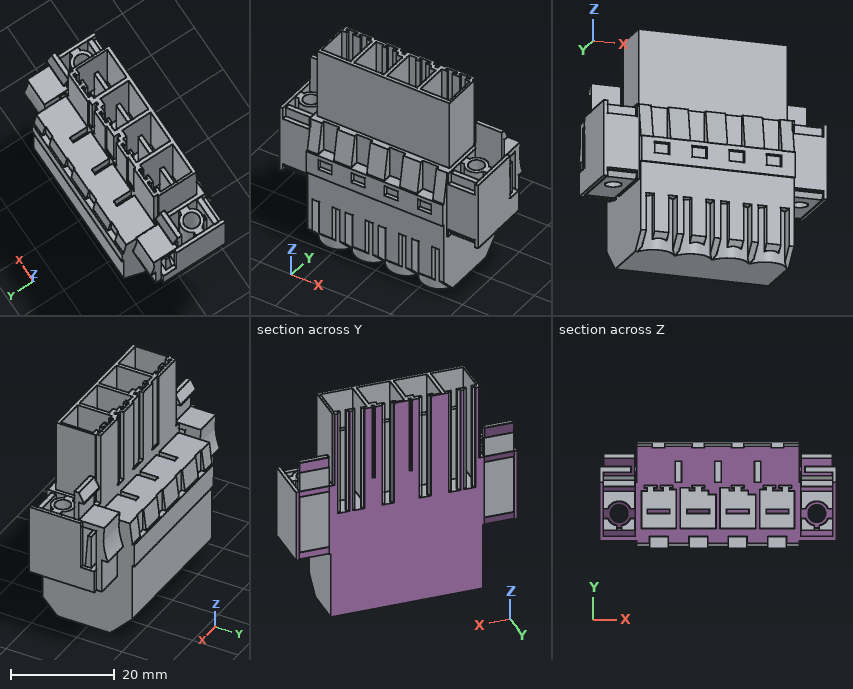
import cadquery as cq


PITCH = 7.65
POLES = 4
MIDDLE = (POLES - 1) / 2
POLE_XS = [PITCH * (i - MIDDLE) for i in range(POLES)]
MID_POLE_XS = POLE_XS[1:-1]

BODY_HALF_X = 15.7
FRONT_Y = -9.95
BACK_Y = 9.9
BAND_OUT = 0.35
BAND_BOTTOM_Z = 17.35
BAND_TOP_Z = 22.45
SHELF_Z = 27.2
TOP_Z = 29.25
TOP_FRONT_Y = -8.75
TOP_BACK_Y = 2.45
SHELF_BACK_Y = 9.33
FRONT_CHAMFER_Y = 3.25
FRONT_CHAMFER_Z = 3.45
BACK_CHAMFER = 4.9

FRONT_GAP_WIDTH = 3.55
FRONT_GAP_PITCH = 7.6
FRONT_GAP_FLOOR_Y = -8.0
BACK_GAP_WIDTH = 2.4
BACK_GAP_FLOOR_Y = 9.15
WINDOW_WIDTH = 3.1
WINDOW_BOTTOM_Z = 19.2
WINDOW_TOP_Z = 21.5
WINDOW_DEPTH = 0.85
SHELF_SLOT_WIDTH = 1.2
SHELF_SLOT_BACK_Y = 6.5
SHELF_SLOT_DEPTH = 3.65
BARREL_RADIUS = 4.15
BARREL_Y = -4.85
BARREL_TOP_Z = 11.0
BARREL_SLOT_INNER = 1.45
BARREL_SLOT_OUTER = 3.15

TOWER_HALF_X = 15.22
TOWER_FRONT_Y = -7.25
TOWER_TOP_Z = 45.0
TOWER_CORNER_STEP_X = 0.3
TOWER_CORNER_STEP_Y = 1.45
CELL_FLOOR_Z = 22.85
CELL_FRONT_Y = -6.45
END_CELL_OUTER_X = 14.7
END_CELL_INNER_X = 8.05
END_CELL_KEY_XS = (13.0, 9.9)
END_CELL_CORNER_Y = 0.75
END_CELL_INNER_Y = 1.05
MID_CELL_HALF_X = 3.45
MID_CELL_KEYWAY_X = 1.95
MID_CELL_KEYWAY_Y = 0.1
MID_CELL_CORNER_X = -1.7
KEY_LAND_Y = 0.85
KEY_HEAD_FRONT_Y = 1.35
KEY_HEAD_BACK_Y = 1.85
KEY_NECK_WIDTH = 1.3
KEY_HEAD_WIDTH = 2.4
KEYWAY_LEFT = 1.95
KEYWAY_MIDDLE = 2.75
KEYWAY_RIGHT = 3.25
KEYWAY_SHALLOW_Y = 1.7
KEYWAY_DEEP_Y = 1.05
RECESS_Y = 2.15
RECESS_WIDTH = 2.5

BLADE_WIDTH = 4.4
BLADE_THICKNESS = 0.85
BLADE_Y = -3.15
BLADE_BOTTOM_Z = 18.3
BLADE_TOP_Z = 38.4

FRAME_OUTER_X = -22.85
FRAME_INNER_X = -BODY_HALF_X
FRAME_FRONT_Y = -8.85
FRAME_BACK_Y = 5.5
FRAME_BOTTOM_Z = 14.05
FRONT_WALL_BOTTOM_Z = 15.75
FRONT_WALL_TOP_Z = 26.7
FRAME_BACK_WALL_TOP_Z = 18.95

INSERT_OUTER_X = -22.1
INSERT_INNER_X = -16.0
INSERT_MID_X = (INSERT_OUTER_X + INSERT_INNER_X) / 2
INSERT_FRONT_Y = -7.85
INSERT_BOTTOM_Z = 14.17
INSERT_FLOOR_Z = FRONT_WALL_BOTTOM_Z
LEAF_THICKNESS = 1.1
LEAF_TOP_Z = 28.8
SNAP_PEAK_Z = 15.25
SNAP_OUT = 0.7
TUBE_Y = -3.55
TUBE_RADIUS = 2.4
TUBE_HOLE_RADIUS = 1.65
TUBE_WEB_WIDTH = 1.9
TUBE_RIB_WIDTH = 1.0
TUBE_RIB_LENGTH = 0.4
TUBE_RIB_TOP_Z = 25.6
TUBE_RIB_STEP_Z = 26.5
LATCH_FRONT_Y = 0.7
LATCH_BACK_Y = 1.65
LATCH_TIP_Y = 2.8
LATCH_HOOK_Z = 33.38
LATCH_TIP_Z = 33.6
LATCH_TOP_Z = 35.65
BRIDGE_BOTTOM_Z = 28.0
LEVER_BACK_Y = 6.75
LEVER_TOP_Y = 7.25
LEVER_NECK_Y = 7.1
LEVER_NECK_Z = 26.05
LEVER_CURVE_Y = 7.35
LEVER_CURVE_Z = 23.85
LEVER_TIP_Y = 8.05
LEVER_TIP_Z = 21.55
POST_BACK_Y = 4.4
POST_TOP_Z = 26.25
LEAN_BOTTOM_Y = 2.7
LEAN_TOP_Y = 3.8
WEB_THICKNESS = 0.8


def box(x0, x1, y0, y1, z0, z1):
    """Box between two corners."""
    return cq.Workplane("XY").box(x1 - x0, y1 - y0, z1 - z0, centered=False).translate((x0, y0, z0))


def centred_box(x, width, y0, y1, z0, z1):
    """Box centred on x."""
    return box(x - width / 2, x + width / 2, y0, y1, z0, z1)


def along_x(profile, x0, x1):
    """Extrude a closed YZ profile from x0 to x1."""
    return profile.extrude(x1 - x0).translate((x0, 0, 0))


def mirrored(body):
    return body.mirror("YZ")



def body_block():
    profile = (
        cq.Workplane("YZ")
        .moveTo(FRONT_Y + FRONT_CHAMFER_Y, 0)
        .lineTo(FRONT_Y, FRONT_CHAMFER_Z)
        .lineTo(FRONT_Y, BAND_BOTTOM_Z)
        .lineTo(FRONT_Y - BAND_OUT, BAND_BOTTOM_Z)
        .lineTo(FRONT_Y - BAND_OUT, BAND_TOP_Z)
        .lineTo(FRONT_Y, BAND_TOP_Z)
        .lineTo(TOP_FRONT_Y, TOP_Z)
        .lineTo(TOP_BACK_Y, TOP_Z)
        .lineTo(TOP_BACK_Y, SHELF_Z)
        .lineTo(SHELF_BACK_Y, SHELF_Z)
        .lineTo(BACK_Y, BAND_TOP_Z)
        .lineTo(BACK_Y + BAND_OUT, BAND_TOP_Z)
        .lineTo(BACK_Y + BAND_OUT, BAND_BOTTOM_Z)
        .lineTo(BACK_Y, BAND_BOTTOM_Z)
        .lineTo(BACK_Y, BACK_CHAMFER)
        .lineTo(BACK_Y - BACK_CHAMFER, 0)
        .close()
    )
    return along_x(profile, -BODY_HALF_X, BODY_HALF_X)


def add_barrels(body):
    """Round wire barrels at the bottom, each showing through two front slots."""
    for x in POLE_XS:
        for side in (-1, 1):
            edges = sorted((x + side * BARREL_SLOT_INNER, x + side * BARREL_SLOT_OUTER))
            body = body.cut(box(*edges, FRONT_Y, BARREL_Y, 0, BARREL_TOP_Z))
    for x in POLE_XS:
        body = body.union(cq.Workplane("XY").center(x, BARREL_Y).circle(BARREL_RADIUS).extrude(BARREL_TOP_Z))
    return body


def cut_body_recesses(body):
    band_front = FRONT_Y - BAND_OUT
    band_back = BACK_Y + BAND_OUT
    for i, x in enumerate(POLE_XS):
        gap_x = FRONT_GAP_PITCH * (i - MIDDLE)
        body = body.cut(centred_box(gap_x, FRONT_GAP_WIDTH, band_front, FRONT_GAP_FLOOR_Y, BAND_TOP_Z, TOP_Z))
        body = body.cut(centred_box(x, BACK_GAP_WIDTH, BACK_GAP_FLOOR_Y, band_back, BAND_TOP_Z, SHELF_Z))
        body = body.cut(
            centred_box(x, WINDOW_WIDTH, band_front, band_front + WINDOW_DEPTH, WINDOW_BOTTOM_Z, WINDOW_TOP_Z)
        )
    for x in (-PITCH, 0, PITCH):
        body = body.cut(
            centred_box(x, SHELF_SLOT_WIDTH, TOP_BACK_Y, SHELF_SLOT_BACK_Y, SHELF_Z - SHELF_SLOT_DEPTH, SHELF_Z)
        )
    return body


def cell_box(x0, x1, back_y):
    """Part of a cell, from its front wall to back_y."""
    return box(x0, x1, CELL_FRONT_Y, back_y, CELL_FLOOR_Z, TOWER_TOP_Z)


def key_slot(x):
    """T-shaped slot in the back wall of a cell."""
    neck = cell_box(x - KEY_NECK_WIDTH / 2, x + KEY_NECK_WIDTH / 2, KEY_HEAD_FRONT_Y)
    head = centred_box(x, KEY_HEAD_WIDTH, KEY_HEAD_FRONT_Y, KEY_HEAD_BACK_Y, CELL_FLOOR_Z, TOWER_TOP_Z)
    return neck.union(head)


def end_cell():
    """Cell at the -X end, with two key slots."""
    outer_key, inner_key = (-x for x in END_CELL_KEY_XS)
    cell = cell_box(-END_CELL_OUTER_X, -END_CELL_INNER_X, END_CELL_CORNER_Y)
    cell = cell.union(cell_box(outer_key, inner_key, KEY_LAND_Y))
    cell = cell.union(cell_box(inner_key, -END_CELL_INNER_X, END_CELL_INNER_Y))
    for key_x in (outer_key, inner_key):
        cell = cell.union(key_slot(key_x))
    return cell


def middle_cell(x):
    """Cell with one key slot, stepped in beside the outside keyway."""
    left = x - MID_CELL_HALF_X
    cell = cell_box(left, x + MID_CELL_HALF_X, MID_CELL_KEYWAY_Y)
    cell = cell.union(cell_box(left, x + MID_CELL_KEYWAY_X, KEY_LAND_Y))
    cell = cell.union(cell_box(left, x + MID_CELL_CORNER_X, KEY_HEAD_FRONT_Y))
    return cell.union(key_slot(x))


def tower_notch(x0, x1, front_y):
    """Notch over the full tower height, open to the back."""
    return box(x0, x1, front_y, TOP_BACK_Y, TOP_Z, TOWER_TOP_Z)


def cut_tower_back(body):
    """Keyways, shallow recesses and corner steps on the back of the tower."""
    for x in MID_POLE_XS:
        body = body.cut(tower_notch(x + KEYWAY_LEFT, x + KEYWAY_MIDDLE, KEYWAY_SHALLOW_Y))
        body = body.cut(tower_notch(x + KEYWAY_MIDDLE, x + KEYWAY_RIGHT, KEYWAY_DEEP_Y))
    recess_starts = [-END_CELL_INNER_X] + [x + KEYWAY_RIGHT for x in MID_POLE_XS]
    for start in recess_starts:
        end = min(start + RECESS_WIDTH, END_CELL_INNER_X)
        body = body.cut(tower_notch(start, end, RECESS_Y))
    step = tower_notch(-TOWER_HALF_X, -TOWER_HALF_X + TOWER_CORNER_STEP_X, TOWER_CORNER_STEP_Y)
    return body.cut(step).cut(mirrored(step))


def add_tower(body):
    body = body.union(box(-TOWER_HALF_X, TOWER_HALF_X, TOWER_FRONT_Y, TOP_BACK_Y, TOP_Z, TOWER_TOP_Z))
    body = cut_tower_back(body)
    body = body.cut(end_cell()).cut(mirrored(end_cell()))
    for x in MID_POLE_XS:
        body = body.cut(middle_cell(x))
    return body


def side_frame():
    """Open frame on the -X side that holds a latch insert."""
    side_wall = box(FRAME_OUTER_X, INSERT_OUTER_X, FRAME_FRONT_Y, TOP_BACK_Y, FRAME_BOTTOM_Z, TOP_Z)
    low_side_wall = box(
        FRAME_OUTER_X, INSERT_OUTER_X, TOP_BACK_Y, FRAME_BACK_Y, FRAME_BOTTOM_Z, FRAME_BACK_WALL_TOP_Z
    )
    front_wall = box(
        FRAME_OUTER_X, FRAME_INNER_X, FRAME_FRONT_Y, INSERT_FRONT_Y, FRONT_WALL_BOTTOM_Z, FRONT_WALL_TOP_Z
    )
    back_wall = box(
        FRAME_OUTER_X, FRAME_INNER_X, POST_BACK_Y, FRAME_BACK_Y, FRAME_BOTTOM_Z, FRAME_BACK_WALL_TOP_Z
    )
    inner_wall = box(INSERT_INNER_X, FRAME_INNER_X, FRAME_FRONT_Y, TOP_BACK_Y, FRAME_BOTTOM_Z, TOP_Z)
    return side_wall.union(low_side_wall).union(front_wall).union(back_wall).union(inner_wall)


def make_housing():
    body = add_barrels(body_block())
    body = cut_body_recesses(body)
    body = add_tower(body)
    body = body.union(side_frame()).union(mirrored(side_frame()))
    for x in POLE_XS:
        body = body.cut(make_contact(x))
    return body



def make_contact(x):
    """Flat blade set into the floor of a cell."""
    y0 = BLADE_Y - BLADE_THICKNESS / 2
    return centred_box(x, BLADE_WIDTH, y0, y0 + BLADE_THICKNESS, BLADE_BOTTOM_Z, BLADE_TOP_Z)



def insert_slab(y0, y1, z0, z1):
    """Box over the full width of the insert."""
    return box(INSERT_OUTER_X, INSERT_INNER_X, y0, y1, z0, z1)


def front_leaf():
    """Front wall of the insert, with a snap ridge under the frame's front wall."""
    leaf = insert_slab(INSERT_FRONT_Y, INSERT_FRONT_Y + LEAF_THICKNESS, INSERT_BOTTOM_Z, LEAF_TOP_Z)
    ridge = cq.Workplane("YZ").polyline([
        (INSERT_FRONT_Y, INSERT_BOTTOM_Z),
        (INSERT_FRONT_Y - SNAP_OUT, SNAP_PEAK_Z),
        (INSERT_FRONT_Y, INSERT_FLOOR_Z),
    ]).close()
    return leaf.union(along_x(ridge, INSERT_OUTER_X, INSERT_INNER_X))


def screw_tube():
    """Tube with a web to each side and a small rib to the front leaf."""
    height = TOP_Z - INSERT_BOTTOM_Z
    tube = (
        cq.Workplane("XY", origin=(INSERT_MID_X, TUBE_Y, INSERT_BOTTOM_Z))
        .circle(TUBE_RADIUS).extrude(height)
    )
    web_y = TUBE_Y - TUBE_WEB_WIDTH / 2
    tube = tube.union(insert_slab(web_y, web_y + TUBE_WEB_WIDTH, INSERT_BOTTOM_Z, TOP_Z))
    rib = centred_box(
        INSERT_MID_X, TUBE_RIB_WIDTH, INSERT_FRONT_Y + LEAF_THICKNESS, TUBE_Y, INSERT_BOTTOM_Z, TUBE_RIB_TOP_Z
    )
    step_y = TUBE_Y - TUBE_RADIUS - TUBE_RIB_LENGTH
    rib_step = centred_box(INSERT_MID_X, TUBE_RIB_WIDTH, step_y, TUBE_Y, INSERT_BOTTOM_Z, TUBE_RIB_STEP_Z)
    return tube.union(rib).union(rib_step)


def latch_hook():
    """Upright plate with a hook, joined by a bridge to the lever behind it."""
    profile = (
        cq.Workplane("YZ")
        .moveTo(LATCH_FRONT_Y, INSERT_BOTTOM_Z)
        .lineTo(LATCH_FRONT_Y, LATCH_TOP_Z)
        .lineTo(LATCH_BACK_Y, LATCH_TOP_Z)
        .lineTo(LATCH_TIP_Y, LATCH_TIP_Z)
        .lineTo(LATCH_TIP_Y, LATCH_HOOK_Z)
        .lineTo(LATCH_BACK_Y, LATCH_HOOK_Z)
        .lineTo(LATCH_BACK_Y, TOP_Z)
        .lineTo(LEVER_TOP_Y, TOP_Z)
        .lineTo(LEVER_NECK_Y, LEVER_NECK_Z)
        .threePointArc((LEVER_CURVE_Y, LEVER_CURVE_Z), (LEVER_TIP_Y, LEVER_TIP_Z))
        .lineTo(LEVER_BACK_Y, LEVER_TIP_Z)
        .lineTo(LEVER_BACK_Y, INSERT_BOTTOM_Z)
        .lineTo(FRAME_BACK_Y, INSERT_BOTTOM_Z)
        .lineTo(FRAME_BACK_Y, BRIDGE_BOTTOM_Z)
        .lineTo(LATCH_BACK_Y, BRIDGE_BOTTOM_Z)
        .lineTo(LATCH_BACK_Y, INSERT_BOTTOM_Z)
        .close()
    )
    return along_x(profile, INSERT_OUTER_X, INSERT_INNER_X)


def leaning_plate(x0, x1, back_y, z0, z1):
    """Plate whose front face leans back towards the top."""
    lean = (LEAN_TOP_Y - LEAN_BOTTOM_Y) / (BRIDGE_BOTTOM_Z - INSERT_BOTTOM_Z)
    profile = cq.Workplane("YZ").polyline([
        (LEAN_BOTTOM_Y + lean * (z0 - INSERT_BOTTOM_Z), z0),
        (LEAN_BOTTOM_Y + lean * (z1 - INSERT_BOTTOM_Z), z1),
        (back_y, z1),
        (back_y, z0),
    ]).close()
    return along_x(profile, x0, x1)


def make_left_insert():
    post = leaning_plate(INSERT_OUTER_X, INSERT_INNER_X, POST_BACK_Y, INSERT_BOTTOM_Z, POST_TOP_Z)
    web = leaning_plate(
        INSERT_INNER_X - WEB_THICKNESS, INSERT_INNER_X, FRAME_BACK_Y, FRAME_BACK_WALL_TOP_Z, BRIDGE_BOTTOM_Z
    )
    floor = insert_slab(INSERT_FRONT_Y, POST_BACK_Y, INSERT_BOTTOM_Z, INSERT_FLOOR_Z)
    insert = floor.union(front_leaf()).union(screw_tube()).union(latch_hook()).union(post).union(web)
    hole = (
        cq.Workplane("XY", origin=(INSERT_MID_X, TUBE_Y, INSERT_BOTTOM_Z))
        .circle(TUBE_HOLE_RADIUS).extrude(TOP_Z - INSERT_BOTTOM_Z)
    )
    return insert.cut(hole)


housing = make_housing()
contacts = [make_contact(x) for x in POLE_XS]
left_insert = make_left_insert()
inserts = [left_insert, mirrored(left_insert)]

result = cq.Compound.makeCompound(
    [housing.val(), *(c.val() for c in contacts), *(i.val() for i in inserts)]
)